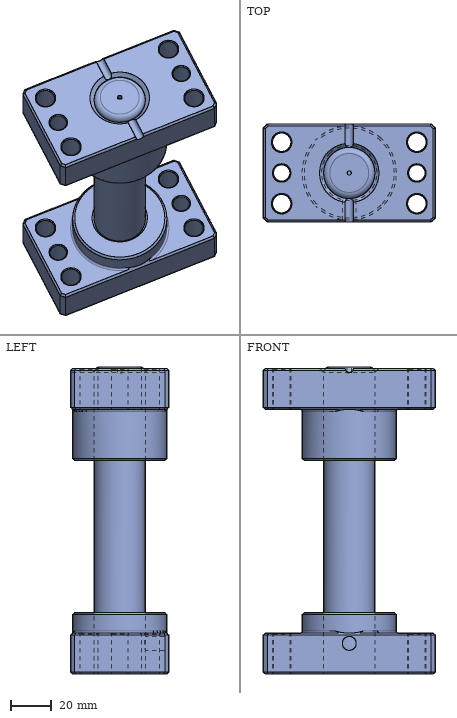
import cadquery as cq

plate_length = 84.0
plate_width = 48.0
plate_thickness = 20.0
corner_chamfer = 2.0
edge_chamfer = 1.0

hole_row_x = 33.0
screw_row_y = 15.0
screw_hole_diameter = 9.0
dowel_hole_diameter = 8.0
hole_chamfer = 0.5

collar_diameter = 46.0
collar_chamfer = 1.0
collar_root_fillet = 1.0
base_collar_height = 10.0
head_collar_height = 25.0

pin_diameter = 25.0
pin_length = 150.0
pin_end_fillet = 3.0
centre_hole_diameter = 2.0
centre_hole_depth = 3.0

base_bore_chamfer = 1.0
head_bore_chamfer = 2.0

cross_hole_diameter = 6.8
cross_hole_drop = 5.0

groove_radius = 2.0
groove_depth = 2.0

pin_protrusion = 0.75
head_top = pin_length - pin_protrusion


def hole_cutter(diameter, x, y):
    """Through hole of a plate, chamfered where it meets the plate's top face."""
    radius = diameter / 2
    bore = cq.Workplane().center(x, y).circle(radius).extrude(plate_thickness)
    mouth = cq.Solid.makeCone(
        radius,
        radius + hole_chamfer,
        hole_chamfer,
        pnt=cq.Vector(x, y, plate_thickness - hole_chamfer),
    )
    return bore.union(cq.Workplane(mouth))


def collar(height):
    """Round collar from z = 0 up, chamfered at its end and filleted at its root.

    The root fillet is trimmed by the plate's edge chamfers, carried on above the plate.
    """
    radius = collar_diameter / 2
    foot_radius = radius + collar_root_fillet
    barrel = cq.Workplane().circle(radius).extrude(height).faces(">Z").chamfer(collar_chamfer)
    root = (
        cq.Workplane("XZ")
        .lineTo(foot_radius, 0)
        .radiusArc((radius, collar_root_fillet), collar_root_fillet)
        .lineTo(0, collar_root_fillet)
        .close()
        .revolve(360, (0, 0, 0), (0, 1, 0))
    )
    flat_length = plate_length - 2 * edge_chamfer
    flat_width = plate_width - 2 * edge_chamfer
    trim = cq.Workplane().rect(flat_length, flat_width).extrude(collar_root_fillet, taper=45)
    return barrel.union(root.intersect(trim))


def plate():
    """Plate from z = 0 up, with chamfered corners and edges and a row of holes at each end."""
    body = (
        cq.Workplane()
        .box(plate_length, plate_width, plate_thickness, centered=(True, True, False))
        .edges("|Z")
        .chamfer(corner_chamfer)
        .faces("<Z or >Z")
        .chamfer(edge_chamfer)
    )
    for x in (-hole_row_x, hole_row_x):
        body = body.cut(hole_cutter(dowel_hole_diameter, x, 0))
        for y in (-screw_row_y, screw_row_y):
            body = body.cut(hole_cutter(screw_hole_diameter, x, y))
    return body


def pin_bore(bottom_z, top_z, chamfer):
    """Bore for the pin, chamfered at its upper end."""
    radius = pin_diameter / 2
    bore = cq.Workplane().workplane(offset=bottom_z).circle(radius).extrude(top_z - bottom_z)
    mouth = cq.Solid.makeCone(
        radius, radius + chamfer, chamfer, pnt=cq.Vector(0, 0, top_z - chamfer)
    )
    return bore.union(cq.Workplane(mouth))


def make_base():
    """Lower plate with a short collar, the pin's bore and a cross hole to the pin."""
    top = plate_thickness + base_collar_height
    cross_hole = (
        cq.Workplane("XZ")
        .center(0, plate_thickness - cross_hole_drop)
        .circle(cross_hole_diameter / 2)
        .extrude(plate_width / 2)
    )
    return (
        plate()
        .union(collar(base_collar_height).translate((0, 0, plate_thickness)))
        .cut(pin_bore(0, top, base_bore_chamfer))
        .cut(cross_hole)
    )


def make_guide_head():
    """Upper plate with a long collar below it, sliding on the pin."""
    groove = (
        cq.Workplane("XZ")
        .center(0, plate_thickness - groove_depth + groove_radius)
        .circle(groove_radius)
        .extrude(plate_width / 2, both=True)
    )
    return (
        plate()
        .union(collar(head_collar_height).rotate((0, 0, 0), (1, 0, 0), 180))
        .cut(pin_bore(-head_collar_height, plate_thickness, head_bore_chamfer))
        .cut(groove)
        .translate((0, 0, head_top - plate_thickness))
    )


def make_pin():
    """Round pin with a rounded top end and a small centre hole."""
    return (
        cq.Workplane()
        .circle(pin_diameter / 2)
        .extrude(pin_length)
        .faces(">Z")
        .edges()
        .fillet(pin_end_fillet)
        .faces(">Z")
        .workplane()
        .hole(centre_hole_diameter, centre_hole_depth)
    )


base = make_base()
guide_head = make_guide_head()
pin = make_pin()

result = cq.Compound.makeCompound([base.val(), guide_head.val(), pin.val()])